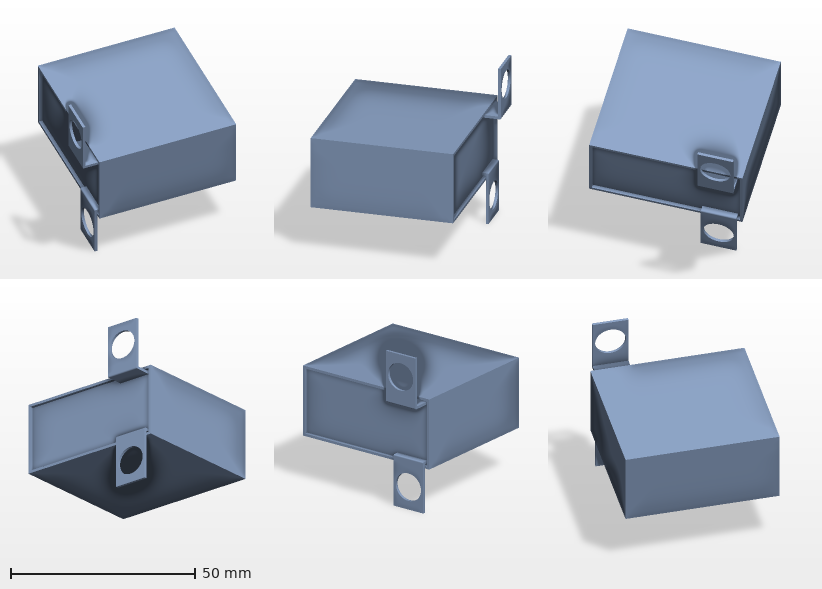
import cadquery as cq

housing_width = 43.0
housing_height = 20.35
housing_depth = 40.25
wall = 0.75

recess_depth = 1.0

overall_height = 46.0
overall_depth = 44.55
strip_thickness = 0.8
terminal_width = 10.05
terminal_length = 14.85
terminal_side_gap = 1.45
bend_radius = 0.35
hole_width = 8.55
hole_height = 7.95
hole_from_tip = 6.5

core_face_y = recess_depth
terminal_x = housing_width / 2 - terminal_side_gap - terminal_width / 2
tip_z = overall_height / 2
bend_z = tip_z - terminal_length
hole_z = tip_z - hole_from_tip
upper_reach = overall_depth - housing_depth
lower_reach = strip_thickness


def block(width, y_start, y_end, z_start, z_end, x_center=0):
    """Box given by its width about x_center and its Y and Z limits."""
    return cq.Workplane("XY").box(width, y_end - y_start, z_end - z_start).translate(
        (x_center, (y_start + y_end) / 2, (z_start + z_end) / 2)
    )


def make_housing():
    inner_height = housing_height - 2 * wall
    outer = block(housing_width, 0, housing_depth, -housing_height / 2, housing_height / 2)
    cavity = block(
        housing_width - 2 * wall, 0, housing_depth - wall, -inner_height / 2, inner_height / 2
    )
    return outer.cut(cavity)


def make_core():
    core_height = housing_height - 2 * wall
    return block(
        housing_width - 2 * wall, core_face_y, housing_depth - wall, -core_height / 2, core_height / 2
    )


def make_terminal(reach):
    """Upward terminal whose outer face stands the given reach in front of the rim."""
    foot = block(terminal_width, -reach, core_face_y, bend_z, bend_z + strip_thickness, terminal_x)
    tab = block(terminal_width, -reach, -reach + strip_thickness, bend_z, tip_z, terminal_x)
    strip = foot.union(tab).edges("<Y and <Z").fillet(bend_radius)
    hole = (
        cq.Workplane("XZ", origin=(terminal_x, 0, hole_z))
        .ellipse(hole_width / 2, hole_height / 2)
        .extrude(reach)
    )
    return strip.cut(hole)


housing = make_housing()
core = make_core()
upper_terminal = make_terminal(upper_reach)
lower_terminal = make_terminal(lower_reach).mirror("XY")

result = cq.Compound.makeCompound(
    [housing.val(), core.val(), upper_terminal.val(), lower_terminal.val()]
)